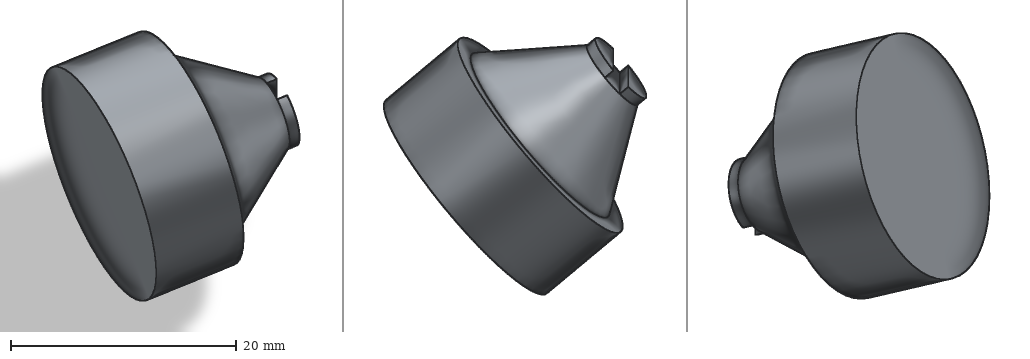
import cadquery as cq

head_diameter = 22.35
total_length = 18.2
head_length = 8.71
tip_length = 1.0
cone_base_diameter = 18.85
tip_diameter = 6.93
slot_width = 2.0

front_y = -total_length / 2
shoulder_y = front_y + head_length
back_y = total_length / 2
tip_base_y = back_y - tip_length

profile = (
    cq.Workplane("XY")
    .moveTo(0, front_y)
    .lineTo(head_diameter / 2, front_y)
    .lineTo(head_diameter / 2, shoulder_y)
    .lineTo(cone_base_diameter / 2, shoulder_y)
    .lineTo(tip_diameter / 2, tip_base_y)
    .lineTo(tip_diameter / 2, back_y)
    .lineTo(0, back_y)
    .close()
)
body = profile.revolve(360, (0, 0, 0), (0, 1, 0))

slot = (
    cq.Workplane("XY")
    .box(slot_width, tip_length, tip_diameter, centered=(True, False, True))
    .translate((0, tip_base_y, 0))
)

result = body.cut(slot)